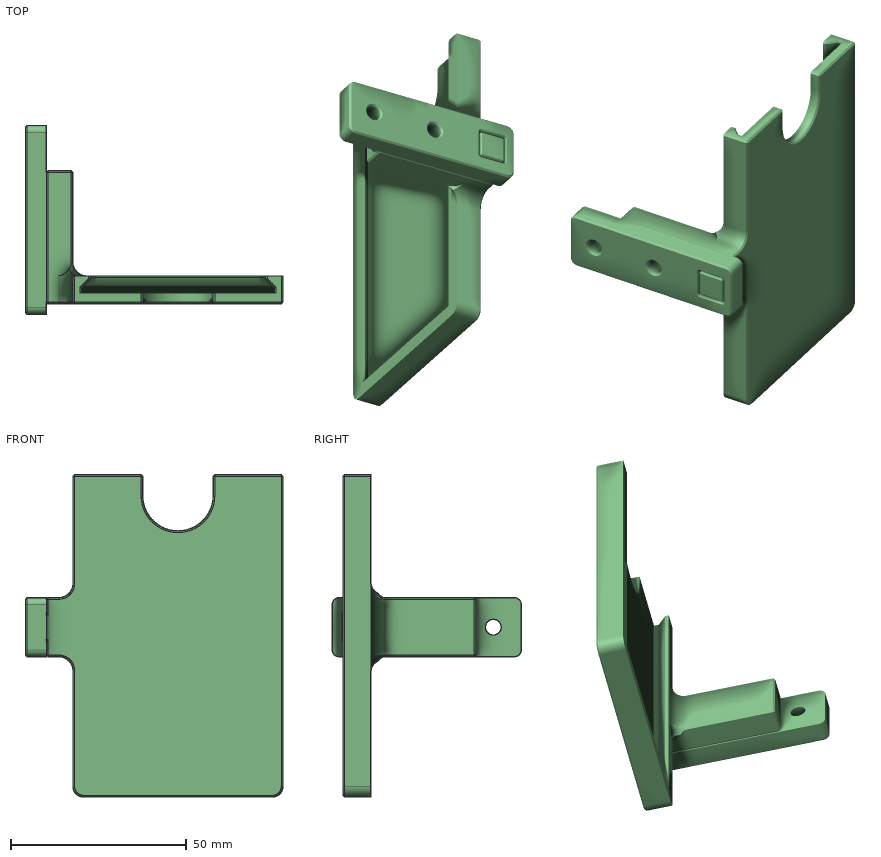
import cadquery as cq
import math

EDGE_CHAMFER = 0.5
THICKNESS = 8.0
ARM_LENGTH = 38.0
ARM_REACH = 7.5
ARM_HEIGHT = 16.9
ARM_CENTRE_Z = 48.5

PLATE_WIDTH = 60.0
PLATE_HEIGHT = 92.0
BOTTOM_CORNER_RADIUS = 3.0
ROOT_RADIUS = 4.0
NOTCH_RADIUS = 10.0
NOTCH_DEPTH = 16.0

SLOT_FLOOR_Y = 3.0
SLOT_BASE_WIDTH = 55.0
SLOT_MOUTH_WIDTH = 50.05
SLOT_WALL_HEIGHT = 1.5
SLOT_UNDERCUT = 2.0

BRACKET_THICKNESS = 6.0
BRACKET_LENGTH = 54.0
BRACKET_OVERHANG = 3.0
BRACKET_CORNER_RADIUS = 2.0
PEG_CLEARANCE = 0.2
SCREW_HOLE_COUNT = 2
SCREW_HOLE_DIAMETER = 4.4
SCREW_HOLE_SPACING = 20.0
SCREW_HOLE_END_DISTANCE = 8.0

ARM_BOTTOM = ARM_CENTRE_Z - ARM_HEIGHT / 2
ARM_TOP = ARM_CENTRE_Z + ARM_HEIGHT / 2
PLATE_CENTRE_X = PLATE_WIDTH / 2
SLOT_WALL_Y = SLOT_FLOOR_Y + SLOT_WALL_HEIGHT
SLOT_BOTTOM = (PLATE_WIDTH - SLOT_BASE_WIDTH) / 2
SLOT_LEDGE = SLOT_BOTTOM + SLOT_UNDERCUT
BRACKET_FACE_X = -ARM_REACH - BRACKET_THICKNESS
BRACKET_REAR_Y = BRACKET_LENGTH - BRACKET_OVERHANG


def corner_box(length_x, length_y, length_z, corner):
    """Box with its lowest corner at the given point."""
    box = cq.Workplane("XY").box(length_x, length_y, length_z, centered=False)
    return box.translate(corner)


def extrude_back(sketch, depth):
    """Extrude an XZ sketch from Y = 0 toward +Y."""
    return sketch.extrude(-depth)


def plate_blank():
    """Plate with the root of the arm, rounded at the bottom and where the arm joins."""
    outline = (
        cq.Workplane("XZ")
        .moveTo(0, 0)
        .lineTo(PLATE_WIDTH, 0)
        .lineTo(PLATE_WIDTH, PLATE_HEIGHT)
        .lineTo(0, PLATE_HEIGHT)
        .lineTo(0, ARM_TOP + ROOT_RADIUS)
        .radiusArc((-ROOT_RADIUS, ARM_TOP), ROOT_RADIUS)
        .lineTo(-ARM_REACH, ARM_TOP)
        .lineTo(-ARM_REACH, ARM_BOTTOM)
        .lineTo(-ROOT_RADIUS, ARM_BOTTOM)
        .radiusArc((0, ARM_BOTTOM - ROOT_RADIUS), ROOT_RADIUS)
        .close()
    )
    blank = extrude_back(outline, THICKNESS)
    return blank.edges("|Y and <Z").fillet(BOTTOM_CORNER_RADIUS)


def arm():
    """Arm along Y, its right edges chamfered behind the plate."""
    corner = (-ARM_REACH, 0, ARM_BOTTOM)
    bar = corner_box(ARM_REACH, ARM_LENGTH, ARM_HEIGHT, corner)
    bar = bar.edges("|Y and >X").chamfer(EDGE_CHAMFER)
    return bar.union(corner_box(ARM_REACH, THICKNESS, ARM_HEIGHT, corner))


def thumb_notch():
    """Round-bottomed notch through the top edge of the plate."""
    centre_z = PLATE_HEIGHT - NOTCH_DEPTH + NOTCH_RADIUS
    sketch = (
        cq.Workplane("XZ")
        .moveTo(PLATE_CENTRE_X - NOTCH_RADIUS, PLATE_HEIGHT)
        .lineTo(PLATE_CENTRE_X - NOTCH_RADIUS, centre_z)
        .threePointArc(
            (PLATE_CENTRE_X, PLATE_HEIGHT - NOTCH_DEPTH),
            (PLATE_CENTRE_X + NOTCH_RADIUS, centre_z),
        )
        .lineTo(PLATE_CENTRE_X + NOTCH_RADIUS, PLATE_HEIGHT)
        .close()
    )
    return extrude_back(sketch, THICKNESS)


def round_side(origin, across, up, length):
    """Prism of the empty space left by a root fillet that ends at the origin.

    The fillet rises along up and spreads along across. Beyond its foot the prism goes on,
    so that cutting with it leaves nothing past the fillet.
    """
    normal = cq.Vector(*across).cross(cq.Vector(*up))
    plane = cq.Plane(origin=origin, xDir=across, normal=normal)
    near = ROOT_RADIUS * (1 - math.sqrt(0.5))
    return (
        cq.Workplane(plane)
        .moveTo(0, ROOT_RADIUS)
        .threePointArc((near, near), (ROOT_RADIUS, 0))
        .lineTo(2 * ROOT_RADIUS, 0)
        .lineTo(2 * ROOT_RADIUS, ROOT_RADIUS)
        .close()
        .extrude(length, both=True)
    )


def upper_root_blend():
    """Blend between the back of the plate and the arm, upper half.

    It follows the right face and the chamfered edge of the arm, then runs out over the arm.
    """
    corner = (0, THICKNESS, ARM_TOP)
    chamfer_corner = (-EDGE_CHAMFER, THICKNESS, ARM_TOP)
    left, right, back, up = (-1, 0, 0), (1, 0, 0), (0, 1, 0), (0, 0, 1)
    chamfer_normal = (1, 0, 1)

    over_arm = corner_box(ROOT_RADIUS, ROOT_RADIUS, ROOT_RADIUS, (-ROOT_RADIUS, THICKNESS, ARM_TOP))
    over_arm = over_arm.cut(round_side(corner, left, up, ARM_LENGTH))
    over_arm = over_arm.cut(round_side(chamfer_corner, left, back, ARM_HEIGHT))

    half_height = ARM_HEIGHT / 2
    beside_arm = corner_box(
        ROOT_RADIUS, ROOT_RADIUS, half_height + ROOT_RADIUS, (0, THICKNESS, ARM_CENTRE_Z)
    )
    chamfer_strip = corner_box(
        EDGE_CHAMFER, ROOT_RADIUS, half_height, (-EDGE_CHAMFER, THICKNESS, ARM_CENTRE_Z)
    )
    blend = beside_arm.union(over_arm).union(chamfer_strip)
    blend = blend.cut(round_side(corner, right, back, ARM_HEIGHT))
    return blend.cut(round_side(chamfer_corner, chamfer_normal, back, ARM_HEIGHT))


def root_blend():
    """The upper half and its mirror image below the middle of the arm."""
    upper = upper_root_blend()
    return upper.union(upper.mirror("XY", (0, 0, ARM_CENTRE_Z)))


def slot_profile(growth):
    """XY outline of the card slot, its sides moved out by growth."""
    half_base = SLOT_BASE_WIDTH / 2 + growth
    half_mouth = SLOT_MOUTH_WIDTH / 2 + growth
    wall_end = SLOT_WALL_Y + growth * math.tan(math.pi / 8)
    lip_start = wall_end + half_base - half_mouth
    right = [
        (half_base, SLOT_FLOOR_Y),
        (half_base, wall_end),
        (half_mouth, lip_start),
        (half_mouth, THICKNESS),
    ]
    left = [(-x, y) for x, y in reversed(right)]
    return [(PLATE_CENTRE_X + x, y) for x, y in right + left]


def card_slot():
    """Dovetail slot with a flared mouth and an undercut lower end."""
    channel = (
        cq.Workplane("XY")
        .workplane(offset=SLOT_BOTTOM)
        .polyline(slot_profile(0))
        .close()
        .extrude(PLATE_HEIGHT - SLOT_BOTTOM)
    )
    end_wall = (
        cq.Workplane("YZ")
        .moveTo(SLOT_FLOOR_Y, SLOT_BOTTOM)
        .lineTo(SLOT_FLOOR_Y + SLOT_UNDERCUT, SLOT_LEDGE)
        .lineTo(THICKNESS - EDGE_CHAMFER, SLOT_LEDGE)
        .lineTo(THICKNESS, SLOT_LEDGE - EDGE_CHAMFER)
        .lineTo(THICKNESS, SLOT_BOTTOM)
        .close()
        .extrude(PLATE_WIDTH)
    )
    flare = (
        cq.Workplane("XY")
        .workplane(offset=PLATE_HEIGHT - EDGE_CHAMFER)
        .polyline(slot_profile(0))
        .close()
        .workplane(offset=EDGE_CHAMFER)
        .polyline(slot_profile(EDGE_CHAMFER))
        .close()
        .loft(ruled=True)
    )
    return channel.cut(end_wall).union(flare)


def square_bar(side):
    """Square bar along X through the bracket, reaching a little way into the arm."""
    return (
        cq.Workplane("YZ")
        .workplane(offset=BRACKET_FACE_X)
        .center(THICKNESS / 2, ARM_CENTRE_Z)
        .rect(side, side)
        .extrude(BRACKET_THICKNESS + EDGE_CHAMFER)
    )


def make_holder():
    """Card holder plate with its arm and the square peg that enters the bracket."""
    holder = plate_blank().union(arm()).union(root_blend()).clean()
    holder = holder.cut(thumb_notch())
    outer_edges = holder.faces("<Y or >Y or <X").edges()
    top_corners = holder.edges("|Y and >Z")
    holder = outer_edges.add(top_corners).chamfer(EDGE_CHAMFER)
    holder = holder.cut(card_slot())
    peg = square_bar(THICKNESS).edges("|X or <X").chamfer(EDGE_CHAMFER)
    return holder.union(peg)


def screw_hole(y):
    """Cylinder along X through the bracket."""
    return (
        cq.Workplane("YZ")
        .workplane(offset=BRACKET_FACE_X)
        .center(y, ARM_CENTRE_Z)
        .circle(SCREW_HOLE_DIAMETER / 2)
        .extrude(BRACKET_THICKNESS)
    )


def make_bracket():
    """Wall bracket with two screw holes and a square hole for the peg."""
    corner = (BRACKET_FACE_X, -BRACKET_OVERHANG, ARM_BOTTOM)
    body = corner_box(BRACKET_THICKNESS, BRACKET_LENGTH, ARM_HEIGHT, corner)
    body = body.edges("|X").fillet(BRACKET_CORNER_RADIUS)
    peg_hole = square_bar(THICKNESS + 2 * PEG_CLEARANCE).edges("|X").fillet(EDGE_CHAMFER)
    body = body.cut(peg_hole)
    for index in range(SCREW_HOLE_COUNT):
        y = BRACKET_REAR_Y - SCREW_HOLE_END_DISTANCE - index * SCREW_HOLE_SPACING
        body = body.cut(screw_hole(y))
    return body.faces("<X").edges().chamfer(EDGE_CHAMFER)


holder = make_holder()
bracket = make_bracket()
result = cq.Compound.makeCompound([holder.val(), bracket.val()])